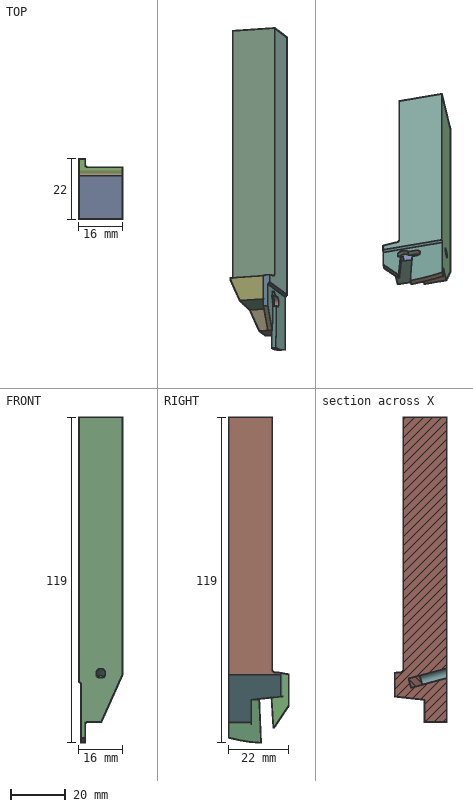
import cadquery as cq
import math

total_length = 119.0
shank_side = 16.0

head_depth = 22.0
core_depth = 19.0
core_bottom = 7.6
blade_back = 2.4
blade_relief = 0.7
relief_step_height = 0.7
relief_top = 22.4
corner_radius = 0.7

shoulder_height = 25.8
shoulder_flat_end = 17.8
shoulder_edge_height = 25.1
shoulder_fillet = 1.0

taper_top = 24.9
taper_bottom_x = 8.2

foot_heel_height = 1.9
foot_toe_y = 11.9
foot_mid_y = 6.0
foot_mid_height = 0.6
slot_foot_y = 11.2
slot_jaw_y = 15.6
slot_end_height = 17.4
jaw_tip_y = 16.3
jaw_tip_width = 0.4
jaw_tip_height = 5.6
jaw_corner_height = 13.6

large_lobe_y = 14.6
large_lobe_height = 18.6
large_lobe_radius = 2.0
small_lobe_y = 10.0
small_lobe_height = 17.6
small_lobe_radius = 1.8

clearance_start = small_lobe_y - small_lobe_radius
clearance_start_height = 15.7
clearance_end_height = 16.9

bore_x = shank_side / 2
bore_height = 25.5
bore_diameter = 3.3
bore_angle = 15.0
screw_recess = 9.8
screw_length = 4.2


def side_solid(outline, x_start, x_end):
    """Extrude a closed YZ outline between two X positions."""
    return outline.extrude(x_end - x_start).translate((x_start, 0, 0))


def side_plane():
    return cq.Workplane("YZ")


def make_shank():
    """Shank together with the full-width core of the head."""
    outline = (
        side_plane()
        .moveTo(0, core_bottom)
        .lineTo(clearance_start, core_bottom)
        .lineTo(clearance_start, clearance_start_height)
        .lineTo(core_depth, clearance_end_height)
        .lineTo(core_depth, shoulder_z(core_depth))
        .lineTo(shoulder_flat_end, shoulder_height)
        .lineTo(shank_side + shoulder_fillet, shoulder_height)
        .radiusArc((shank_side, shoulder_height + shoulder_fillet), shoulder_fillet)
        .lineTo(shank_side, total_length)
        .lineTo(0, total_length)
        .close()
    )
    return side_solid(outline, 0, shank_side)


def shoulder_z(y):
    """Height of the sloping part of the shoulder."""
    run = (y - shoulder_flat_end) / (head_depth - shoulder_flat_end)
    return shoulder_height - run * (shoulder_height - shoulder_edge_height)


def make_blade():
    outline = (
        side_plane()
        .moveTo(0, foot_heel_height)
        .threePointArc((foot_mid_y, foot_mid_height), (foot_toe_y, 0))
        .lineTo(slot_foot_y, slot_end_height)
        .lineTo(slot_jaw_y, slot_end_height)
        .lineTo(jaw_tip_y, jaw_tip_height)
        .lineTo(jaw_tip_y + jaw_tip_width, jaw_tip_height)
        .lineTo(head_depth, jaw_corner_height)
        .lineTo(head_depth, shoulder_edge_height)
        .lineTo(shoulder_flat_end, shoulder_height)
        .lineTo(0, shoulder_height)
        .close()
    )
    return side_solid(outline, 0, blade_back)


def make_keyhole():
    """Two round lobes joined by a straight neck, through the blade only."""
    large_lobe = side_plane().center(large_lobe_y, large_lobe_height).circle(large_lobe_radius)
    small_lobe = side_plane().center(small_lobe_y, small_lobe_height).circle(small_lobe_radius)
    neck = (
        side_plane()
        .center((large_lobe_y + small_lobe_y) / 2, small_lobe_height)
        .rect(large_lobe_y - small_lobe_y, 2 * small_lobe_radius)
    )
    keyhole = large_lobe.extrude(blade_back)
    return keyhole.union(small_lobe.extrude(blade_back)).union(neck.extrude(blade_back))


def make_taper_cut():
    """Wedge that narrows the core towards its lower end."""
    return (
        cq.Workplane("XZ")
        .moveTo(shank_side, taper_top)
        .lineTo(taper_bottom_x, core_bottom)
        .lineTo(shank_side, core_bottom)
        .close()
        .extrude(-head_depth)
    )


def make_relief_cut():
    """Setback of the blade's lower outer face, with a sloping step."""
    return (
        cq.Workplane("XZ")
        .moveTo(0, relief_top)
        .lineTo(blade_relief, relief_top - relief_step_height)
        .lineTo(blade_relief, 0)
        .lineTo(0, 0)
        .close()
        .extrude(-head_depth)
    )


def make_bore_cylinder(start, length):
    """Cylinder on the bore axis, at a distance from the bore's entry."""
    tilt = math.radians(bore_angle)
    direction = cq.Vector(0, math.cos(tilt), -math.sin(tilt))
    origin = cq.Vector(bore_x, 0, bore_height) + direction * start
    cylinder = cq.Solid.makeCylinder(bore_diameter / 2, length, origin, direction)
    return cq.Workplane(obj=cylinder)


def make_holder():
    core = make_shank().cut(make_taper_cut())
    holder = core.union(make_blade())
    root_y = clearance_start / 2
    root_edge = cq.selectors.NearestToPointSelector((blade_back, root_y, core_bottom))
    holder = holder.edges(root_edge).fillet(corner_radius)
    flange_z = (clearance_end_height + shoulder_height) / 2
    flange_edge = cq.selectors.NearestToPointSelector((blade_back, core_depth, flange_z))
    holder = holder.edges(flange_edge).fillet(corner_radius)
    holder = holder.cut(make_relief_cut()).cut(make_keyhole())
    entry_margin = bore_diameter
    bore_length = entry_margin + screw_recess + screw_length
    return holder.cut(make_bore_cylinder(-entry_margin, bore_length))


def make_screw():
    """Plain clamping screw filling the lower end of the bore."""
    return make_bore_cylinder(screw_recess, screw_length)


holder = make_holder()
screw = make_screw()

result = cq.Compound.makeCompound([*holder.solids().vals(), screw.val()])